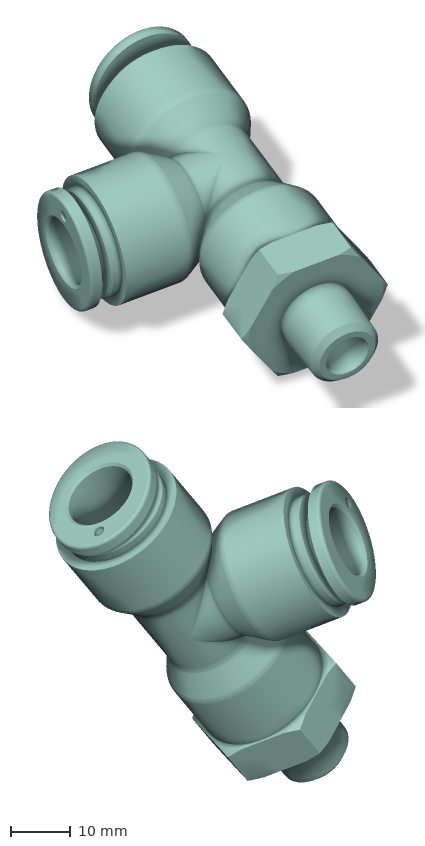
import cadquery as cq
import math

port_reach = 30.55
overall_length = 74.3

barrel_dia = 23.2
core_dia = 17.4
barrel_end = 24.75
cone_end = 12.6
cone_angle = 30.0
shoulder_radius = 2.0
passage_dia = 10.0
tube_stop = 14.85

tube_bore_dia = 12.2
sleeve_dia = 14.2
sleeve_length = 3.95
flange_width = 19.6
flange_height = 22.7
flange_thickness = 2.15
flange_round = 0.5
mouth_chamfer = 0.45
dimple_dia = 2.0
dimple_offset = 8.5
dimple_depth = 0.5

collar_dia = 19.6
collar_chamfer = 0.3

hex_flats = 24.0
hex_length = 7.9
hex_face_dia = 25.3
hex_chamfer_depth = 0.6
stud_root_dia = 13.45
thread_taper = 1 / 16
tip_chamfer = 1.1
stud_bore_dia = 8.0

barrel_radius = barrel_dia / 2
core_radius = core_dia / 2
cone_start = cone_end - (barrel_radius - core_radius) / math.tan(math.radians(cone_angle))
collar_face = port_reach - sleeve_length
stud_tip = overall_length - port_reach


def rod(diameter, start, end):
    """Cylinder on the X axis between two X positions."""
    return cq.Workplane("YZ", origin=(start, 0, 0)).circle(diameter / 2).extrude(end - start)


def turned(points):
    """Solid of revolution about the X axis from (x, radius) points."""
    return cq.Workplane("XY").polyline(points).close().revolve(360, (0, 0, 0), (1, 0, 0))


def to_run(body):
    """Turn a body built on the +X axis, with its top at +Z, to the run port at -X, top down."""
    return body.rotate((0, 0, 0), (0, 1, 0), 180)


def to_branch(body):
    """Turn a body built on the +X axis to the branch port at -Y."""
    return body.rotate((0, 0, 0), (0, 0, 1), -90)


def circles_at(x):
    """Selector for the round edges of a turned arm that lie at X position x."""
    reach = barrel_dia
    margin = 0.1
    return cq.selectors.BoxSelector((x - margin, -reach, -reach), (x + margin, reach, reach))


def make_arm():
    """Core, shoulder cone and barrel along +X, from the crossing point outward."""
    arm = turned([
        (0, 0),
        (0, core_radius),
        (cone_start, core_radius),
        (cone_end, barrel_radius),
        (barrel_end, barrel_radius),
        (barrel_end, 0),
    ])
    return arm.edges(circles_at(cone_end)).fillet(shoulder_radius)


def make_port_bore():
    """Tube socket and narrower passage of one tube port along +X."""
    socket = rod(tube_bore_dia, tube_stop, barrel_end)
    passage = rod(passage_dia, 0, barrel_end)
    return socket.union(passage)


def make_housing():
    arm = make_arm()
    run_half = arm.edges(circles_at(cone_start)).fillet(shoulder_radius)
    tee = run_half.union(to_run(run_half)).union(to_branch(arm))
    bore = make_port_bore()
    return tee.cut(to_run(bore)).cut(to_branch(bore)).cut(rod(passage_dia, 0, barrel_end))


def make_sleeve():
    """Release sleeve along +X with its flange outermost and its dimple at the top."""
    flange = (
        cq.Workplane("YZ", origin=(port_reach - flange_thickness, 0, 0))
        .ellipse(flange_width / 2, flange_height / 2)
        .extrude(flange_thickness)
        .faces(">X").edges().fillet(flange_round)
    )
    sleeve = flange.union(rod(sleeve_dia, collar_face, port_reach - flange_thickness))
    sleeve = sleeve.cut(rod(tube_bore_dia, collar_face, port_reach))
    sleeve = sleeve.faces(">X").edges(cq.selectors.RadiusNthSelector(0)).chamfer(mouth_chamfer)
    dimple = rod(dimple_dia, port_reach - dimple_depth, port_reach)
    return sleeve.cut(dimple.translate((0, 0, dimple_offset)))


def make_collar():
    """Retaining collar along +X, a ring between the barrel and the sleeve."""
    collar = rod(collar_dia, barrel_end, collar_face).faces(">X").chamfer(collar_chamfer)
    return collar.cut(rod(tube_bore_dia, barrel_end, collar_face))


def make_stud():
    """Hexagon with corners at +Y and -Y, tapered threaded end and through bore."""
    hex_end = barrel_end + hex_length
    corner_dia = hex_flats / math.cos(math.pi / 6)
    corner_radius = corner_dia / 2
    face_radius = hex_face_dia / 2
    hexagon = cq.Workplane("YZ", origin=(barrel_end, 0, 0)).polygon(6, corner_dia).extrude(hex_length)
    envelope = turned([
        (barrel_end, 0),
        (barrel_end, face_radius),
        (barrel_end + hex_chamfer_depth, corner_radius),
        (hex_end - hex_chamfer_depth, corner_radius),
        (hex_end, face_radius),
        (hex_end, 0),
    ])
    tip_radius = (stud_root_dia - thread_taper * (stud_tip - hex_end)) / 2
    thread = turned([
        (hex_end, 0),
        (hex_end, stud_root_dia / 2),
        (stud_tip, tip_radius),
        (stud_tip, 0),
    ]).faces(">X").chamfer(tip_chamfer)
    stud = hexagon.intersect(envelope).union(thread)
    return stud.cut(rod(stud_bore_dia, barrel_end, stud_tip))


housing = make_housing()
stud = make_stud()
collars = []
sleeves = []
for place_in_port in (to_run, to_branch):
    collars.append(place_in_port(make_collar()).val())
    sleeves.append(place_in_port(make_sleeve()).val())

result = cq.Compound.makeCompound([housing.val(), stud.val(), *collars, *sleeves])